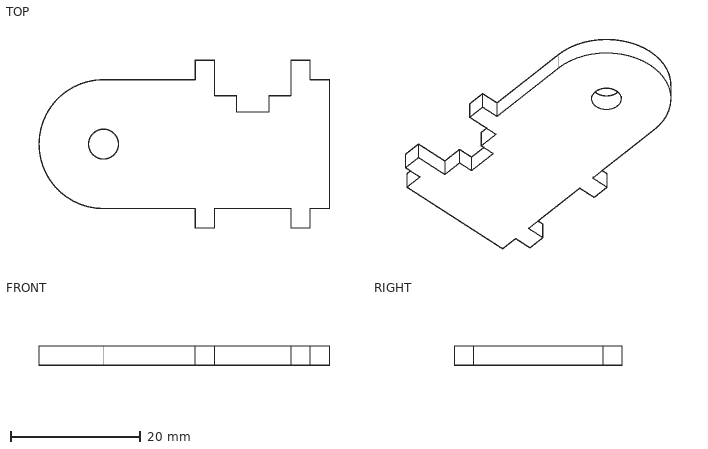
import cadquery as cq

length = 45.0
width = 20.0
thickness = 3.0
nose_radius = width / 2
hole_diameter = 4.6

tab_size = 3.0
tab_gap = 11.8
rear_margin = 3.0

notch_depth = 2.5
inner_notch_width = 5.0
inner_notch_depth = 5.0

rear_x = length - nose_radius
rear_tab_x = rear_x - rear_margin - tab_size / 2
front_tab_x = rear_tab_x - tab_size - tab_gap
notch_x = (front_tab_x + rear_tab_x) / 2
edge_y = width / 2


def box_at(x, y, size_x, size_y):
    """Full-thickness block centred on (x, y), with its base at Z = 0."""
    return cq.Workplane("XY").center(x, y).rect(size_x, size_y).extrude(thickness)


def make_plate():
    return (
        cq.Workplane("XY")
        .moveTo(0, -edge_y)
        .lineTo(rear_x, -edge_y)
        .lineTo(rear_x, edge_y)
        .lineTo(0, edge_y)
        .threePointArc((-nose_radius, 0), (0, -edge_y))
        .close()
        .extrude(thickness)
    )


def add_tabs(body):
    for tab_x in (front_tab_x, rear_tab_x):
        body = body.union(box_at(tab_x, 0, tab_size, width + 2 * tab_size))
    return body


def cut_notch(body):
    outer_step = box_at(notch_x, edge_y, tab_gap, 2 * notch_depth)
    inner_step = box_at(notch_x, edge_y, inner_notch_width, 2 * inner_notch_depth)
    return body.cut(outer_step).cut(inner_step)


def cut_hole(body):
    hole = cq.Workplane("XY").circle(hole_diameter / 2).extrude(thickness)
    return body.cut(hole)


result = cut_hole(cut_notch(add_tabs(make_plate())))